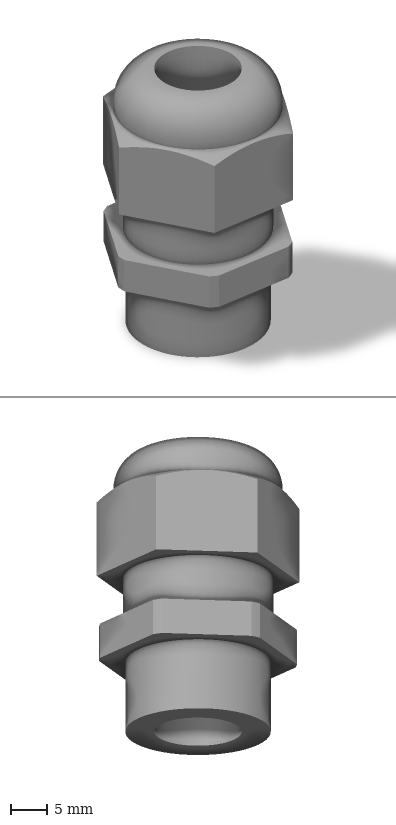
import cadquery as cq
import math

thread_top = 10.0
flange_top = 15.0
neck_top = 22.1
nut_top = 34.15
collar_top = 35.2
total_height = 40.2

across_flats = 24.2
thread_diameter = 20.0
neck_diameter = 20.65
dome_diameter = 23.25
rim_diameter = 13.2
bore_diameter = 12.02

flange_corner_diameter = 27.2
nut_chamfer_angle = 30.0

across_corners = across_flats / math.cos(math.radians(30))
dome_radius = dome_diameter / 2
rim_radius = rim_diameter / 2


def cylinder(diameter, bottom, top):
    return cq.Workplane("XY").workplane(offset=bottom).circle(diameter / 2).extrude(top - bottom)


def hexagon(bottom, top):
    """Hexagonal prism with two corners on the X axis."""
    return cq.Workplane("XY").workplane(offset=bottom).polygon(6, across_corners).extrude(top - bottom)


def make_flange():
    """Hexagon whose corners are turned down to a cylinder."""
    return hexagon(thread_top, flange_top).intersect(cylinder(flange_corner_diameter, thread_top, flange_top))


def make_nut():
    """Hexagon whose top corners are trimmed by a cone starting at the dome's foot."""
    corner_radius = across_corners / 2
    chamfer_drop = (corner_radius - dome_radius) * math.tan(math.radians(nut_chamfer_angle))
    trimming_cone = (
        cq.Workplane("XZ")
        .moveTo(0, neck_top)
        .lineTo(corner_radius, neck_top)
        .lineTo(corner_radius, nut_top - chamfer_drop)
        .lineTo(dome_radius, nut_top)
        .lineTo(0, nut_top)
        .close()
        .revolve(360, (0, 0, 0), (0, 1, 0))
    )
    return hexagon(neck_top, nut_top).intersect(trimming_cone)


def make_dome():
    """Short collar under a quarter-round shoulder that ends in a flat rim."""
    shoulder_width = dome_radius - rim_radius
    shoulder_height = total_height - collar_top
    diagonal = math.sqrt(0.5)
    shoulder_middle = (
        rim_radius + shoulder_width * diagonal,
        collar_top + shoulder_height * diagonal,
    )
    return (
        cq.Workplane("XZ")
        .moveTo(0, nut_top)
        .lineTo(dome_radius, nut_top)
        .lineTo(dome_radius, collar_top)
        .threePointArc(shoulder_middle, (rim_radius, total_height))
        .lineTo(0, total_height)
        .close()
        .revolve(360, (0, 0, 0), (0, 1, 0))
    )


thread = cylinder(thread_diameter, 0, thread_top)
neck = cylinder(neck_diameter, flange_top, neck_top)
bore = cylinder(bore_diameter, 0, total_height)

result = thread.union(make_flange()).union(neck).union(make_nut()).union(make_dome()).cut(bore)